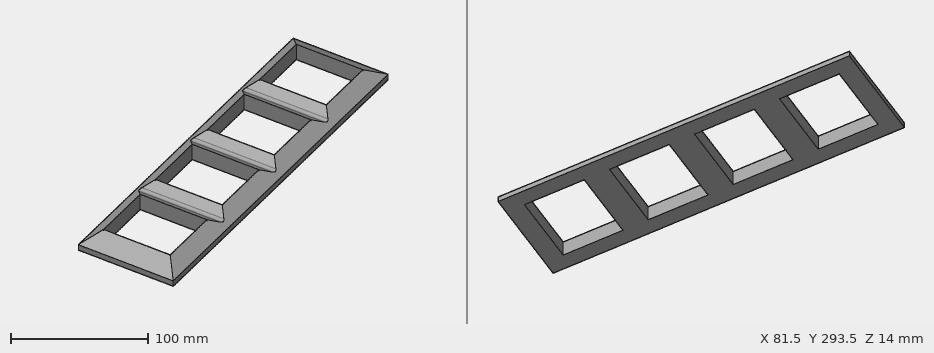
import cadquery as cq
import math

WIDTH = 81.5
LENGTH = 293.5
HEIGHT = 14.0
BASE_HEIGHT = 5.0

WINDOW_COUNT = 4
WINDOW_WIDTH = 57.2
END_RIM = 15.3
BAR_WIDTH = 21.0
WINDOW_LENGTH = (LENGTH - 2 * END_RIM - (WINDOW_COUNT - 1) * BAR_WIDTH) / WINDOW_COUNT
PITCH = WINDOW_LENGTH + BAR_WIDTH

ROUND_HALF_WIDTH = 2.3
FLANK_ANGLE = math.atan2(HEIGHT - BASE_HEIGHT, END_RIM)


def centered_positions(count):
    """Y positions of evenly pitched features centered on the origin."""
    return [(i - (count - 1) / 2) * PITCH for i in range(count)]


def sloped_profile(plane, size, rim):
    """Face of a flat-bottomed bar whose top slopes up over the rim on both sides."""
    half = size / 2
    return (
        cq.Workplane(plane)
        .moveTo(-half, 0)
        .lineTo(half, 0)
        .lineTo(half, BASE_HEIGHT)
        .lineTo(half - rim, HEIGHT)
        .lineTo(-half + rim, HEIGHT)
        .lineTo(-half, BASE_HEIGHT)
        .close()
    )


def make_blank():
    """Rectangular plate with all four sides sloping up to the windows."""
    side_rim = (WIDTH - WINDOW_WIDTH) / 2
    across = sloped_profile("XZ", WIDTH, side_rim).extrude(LENGTH / 2, both=True)
    along = sloped_profile("YZ", LENGTH, END_RIM).extrude(WIDTH / 2, both=True)
    return across.intersect(along)


def make_window(y):
    return cq.Workplane("XY").center(0, y).rect(WINDOW_WIDTH, WINDOW_LENGTH).extrude(HEIGHT)


def make_groove(y):
    """V groove whose flanks run tangent into a round bottom."""
    half = BAR_WIDTH / 2
    radius = ROUND_HALF_WIDTH / math.sin(FLANK_ANGLE)
    arc_end = HEIGHT - (half - ROUND_HALF_WIDTH) * math.tan(FLANK_ANGLE)
    arc_bottom = arc_end - radius * (1 - math.cos(FLANK_ANGLE))
    return (
        cq.Workplane("YZ")
        .moveTo(y - half, HEIGHT)
        .lineTo(y - ROUND_HALF_WIDTH, arc_end)
        .threePointArc((y, arc_bottom), (y + ROUND_HALF_WIDTH, arc_end))
        .lineTo(y + half, HEIGHT)
        .close()
        .extrude(WIDTH / 2, both=True)
    )


result = make_blank()
for window_y in centered_positions(WINDOW_COUNT):
    result = result.cut(make_window(window_y))
for bar_y in centered_positions(WINDOW_COUNT - 1):
    result = result.cut(make_groove(bar_y))